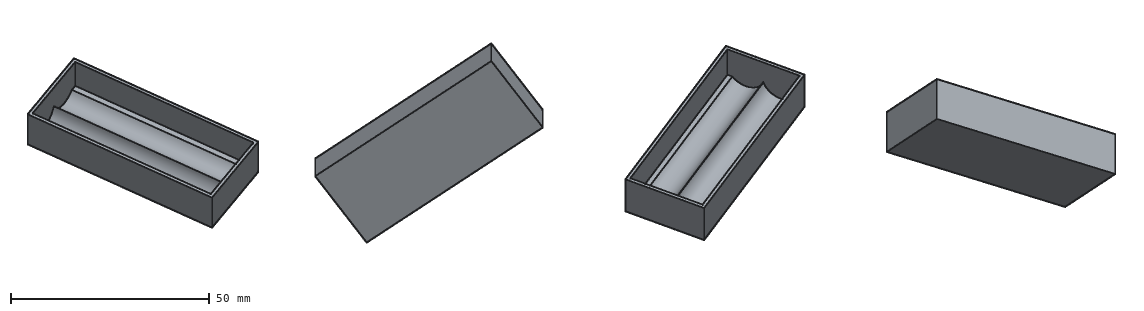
import cadquery as cq

length = 54.5
width = 22.4
height = 11.3
wall = 0.9

ledge_height = 2.35
ridge_height = 4.4

ridge_y = -0.05
back_ledge_y = 8.65
front_ledge_y = -8.9
trough_radius = 5.25

inner_length = length - 2 * wall
inner_half_width = width / 2 - wall


def cavity_section():
    """Cavity cross-section: straight walls above two round troughs and two ledges."""
    return (
        cq.Workplane("YZ", origin=(-inner_length / 2, 0, 0))
        .moveTo(-inner_half_width, height)
        .lineTo(-inner_half_width, ledge_height)
        .lineTo(front_ledge_y, ledge_height)
        .radiusArc((ridge_y, ridge_height), -trough_radius)
        .radiusArc((back_ledge_y, ledge_height), -trough_radius)
        .lineTo(inner_half_width, ledge_height)
        .lineTo(inner_half_width, height)
        .close()
    )


box = cq.Workplane("XY").box(length, width, height, centered=(True, True, False))
result = box.cut(cavity_section().extrude(inner_length))